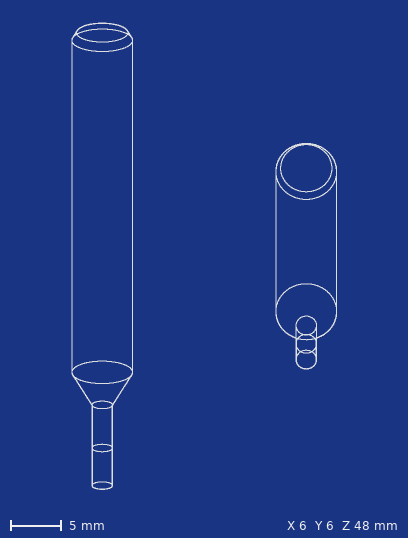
import cadquery as cq
import math

overall_length = 48.0
shank_diameter = 6.0
tip_diameter = 2.0
neck_diameter = tip_diameter
tip_length = 4.0
shank_bottom = 12.0
cone_half_angle = 30.0
chamfer_height = 0.8
chamfer_half_angle = 30.0

shank_radius = shank_diameter / 2
neck_radius = neck_diameter / 2
cone_height = (shank_radius - neck_radius) / math.tan(math.radians(cone_half_angle))
neck_top = shank_bottom - cone_height
chamfer_width = chamfer_height * math.tan(math.radians(chamfer_half_angle))


def make_holder():
    """Chamfered shank, cone and neck, revolved as one body standing on the tip."""
    half_profile = (
        cq.Workplane("XZ")
        .moveTo(0, tip_length)
        .lineTo(neck_radius, tip_length)
        .lineTo(neck_radius, neck_top)
        .lineTo(shank_radius, shank_bottom)
        .lineTo(shank_radius, overall_length - chamfer_height)
        .lineTo(shank_radius - chamfer_width, overall_length)
        .lineTo(0, overall_length)
        .close()
    )
    return half_profile.revolve(360, (0, 0, 0), (0, 1, 0))


def make_tip():
    """Plain cylindrical tip that meets the end face of the neck."""
    return cq.Workplane("XY").circle(tip_diameter / 2).extrude(tip_length)


holder = make_holder()
tip = make_tip()

result = cq.Compound.makeCompound([holder.val(), tip.val()])